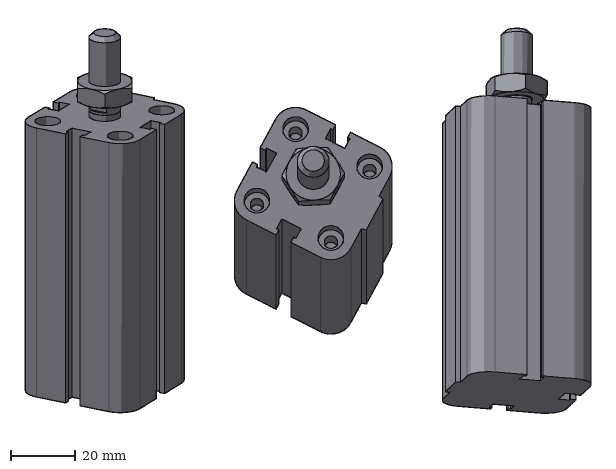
import cadquery as cq
import math


TOTAL_HEIGHT = 117.0
HOUSING_HEIGHT = 89.4

HOUSING_WIDTH = 40.0
CORNER_RADIUS = 7.0
RAIL_BASE_WIDTH = 11.9
RAIL_HEIGHT = 1.5
RAIL_FLANK_ANGLE = 15.0

SLOT_MOUTH_WIDTH = 5.1
SLOT_LIP_THICKNESS = 1.9
SLOT_INNER_WIDTH = 6.8
SLOT_DEPTH = 5.4

COUNTERBORE_DIAMETER = 8.0
COUNTERBORE_DEPTH = 5.0
SCREW_HOLE_DIAMETER = 4.1
SCREW_HOLE_DEPTH = 12.8
HOLE_SPACING = HOUSING_WIDTH - 2 * CORNER_RADIUS

ROD_DIAMETER = 10.0
ROD_TIP_CHAMFER = 1.5
NECK_DIAMETER = 9.8
COLLAR_HEIGHT = 2.0
FLATS_RISE_ABOVE_COLLAR = 0.8
WIDTH_ACROSS_FLATS = 8.0
NECK_TOP_CHAMFER = 0.2

NUT_WIDTH_ACROSS_FLATS = 17.0
NUT_HEIGHT = 6.0
NUT_BASE = 95.0
NUT_FACE_DIAMETER = 16.8
NUT_CHAMFER_ANGLE = 30.0


def centred_box(width, depth, height):
    """Box centred on the Z axis, standing on Z = 0."""
    return cq.Workplane("XY").box(width, depth, height, centered=(True, True, False))


def make_t_slot():
    """Cutter for the full-height T-slot in the -Y side."""
    side = -HOUSING_WIDTH / 2
    lip_inside = side + SLOT_LIP_THICKNESS
    slot_floor = side + SLOT_DEPTH
    half_mouth = SLOT_MOUTH_WIDTH / 2
    half_inner = SLOT_INNER_WIDTH / 2
    outline = [
        (-half_mouth, side),
        (-half_mouth, lip_inside),
        (-half_inner, lip_inside),
        (-half_inner, slot_floor),
        (half_inner, slot_floor),
        (half_inner, lip_inside),
        (half_mouth, lip_inside),
        (half_mouth, side),
    ]
    return cq.Workplane("XY").polyline(outline).close().extrude(HOUSING_HEIGHT)


def make_rail():
    """Trapezoidal rail on the +Y side, standing on the flat of the housing."""
    side = HOUSING_WIDTH / 2
    crest = side + RAIL_HEIGHT
    half_base = RAIL_BASE_WIDTH / 2
    half_crest = half_base - RAIL_HEIGHT * math.tan(math.radians(RAIL_FLANK_ANGLE))
    outline = [
        (-half_base, side),
        (half_base, side),
        (half_crest, crest),
        (-half_crest, crest),
    ]
    return cq.Workplane("XY").polyline(outline).close().extrude(HOUSING_HEIGHT)


def make_housing():
    """Rounded square profile with a rail, three T-slots and four screw holes."""
    housing = centred_box(HOUSING_WIDTH, HOUSING_WIDTH, HOUSING_HEIGHT)
    housing = housing.edges("|Z").fillet(CORNER_RADIUS)
    housing = housing.union(make_rail())

    for angle in (-90, 0, 90):
        housing = housing.cut(make_t_slot().rotate((0, 0, 0), (0, 0, 1), angle))

    top_plane = cq.Workplane("XY", origin=(0, 0, HOUSING_HEIGHT))
    hole_centres = top_plane.rect(HOLE_SPACING, HOLE_SPACING, forConstruction=True).vertices()
    counterbores = hole_centres.circle(COUNTERBORE_DIAMETER / 2).extrude(-COUNTERBORE_DEPTH)
    screw_holes = hole_centres.circle(SCREW_HOLE_DIAMETER / 2).extrude(-SCREW_HOLE_DEPTH)
    return housing.cut(counterbores).cut(screw_holes)


def make_rod():
    """Rod with a collar, a neck with two wrench flats and a chamfered end."""
    neck_base = HOUSING_HEIGHT + COLLAR_HEIGHT
    flats_base = neck_base + FLATS_RISE_ABOVE_COLLAR
    flats_height = NUT_BASE - flats_base

    collar = cq.Workplane("XY", origin=(0, 0, HOUSING_HEIGHT)).circle(ROD_DIAMETER / 2)
    collar = collar.extrude(COLLAR_HEIGHT)
    neck = cq.Workplane("XY", origin=(0, 0, neck_base)).circle(NECK_DIAMETER / 2)
    neck = neck.extrude(NUT_BASE - neck_base).faces(">Z").chamfer(NECK_TOP_CHAMFER)
    end = cq.Workplane("XY", origin=(0, 0, NUT_BASE)).circle(ROD_DIAMETER / 2)
    end = end.extrude(TOTAL_HEIGHT - NUT_BASE).faces(">Z").chamfer(ROD_TIP_CHAMFER)

    between_flats = centred_box(ROD_DIAMETER, WIDTH_ACROSS_FLATS, flats_height)
    around_flats = centred_box(2 * ROD_DIAMETER, 2 * ROD_DIAMETER, flats_height).cut(between_flats)
    neck = neck.cut(around_flats.translate((0, 0, flats_base)))
    return collar.union(neck).union(end)


def make_nut():
    """Hexagonal nut with corners on the X axis and both ends chamfered."""
    corner_radius = NUT_WIDTH_ACROSS_FLATS / math.sqrt(3)
    face_radius = NUT_FACE_DIAMETER / 2
    chamfer_width = corner_radius - face_radius
    chamfer_height = chamfer_width * math.tan(math.radians(NUT_CHAMFER_ANGLE))

    hexagon = cq.Workplane("XY").polygon(6, 2 * corner_radius).extrude(NUT_HEIGHT)
    chamfered_disc = (
        cq.Workplane("XY")
        .circle(corner_radius)
        .extrude(NUT_HEIGHT)
        .faces("<Z or >Z")
        .edges()
        .chamfer(chamfer_height, chamfer_width)
    )
    bore = cq.Workplane("XY").circle(ROD_DIAMETER / 2).extrude(NUT_HEIGHT)
    return hexagon.intersect(chamfered_disc).cut(bore).translate((0, 0, NUT_BASE))


housing = make_housing()
rod = make_rod()
nut = make_nut()

result = cq.Compound.makeCompound([housing.val(), rod.val(), nut.val()])